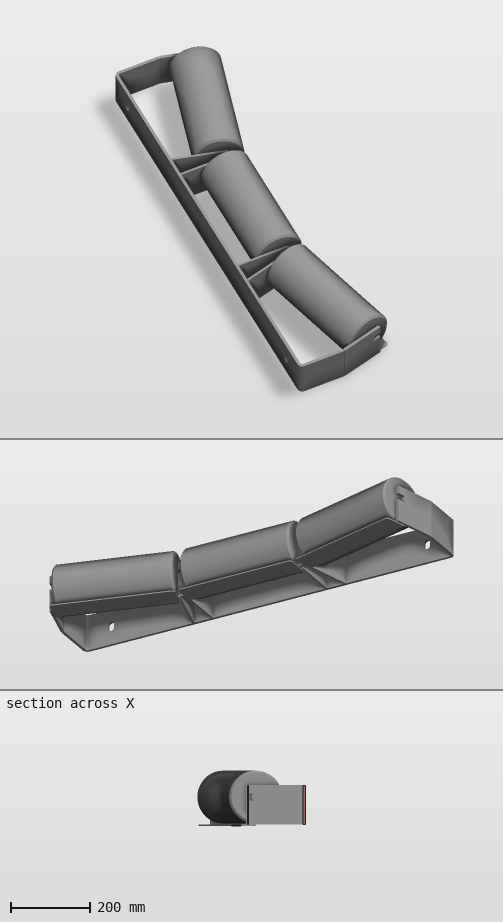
import cadquery as cq
import math


OVERALL_WIDTH = 1070.0
OVERALL_DEPTH = 273.45
PLATE_HEIGHT = 100.0
TROUGH_ANGLE = 15.0
SIN = math.sin(math.radians(TROUGH_ANGLE))
COS = math.cos(math.radians(TROUGH_ANGLE))
HALF_WIDTH = OVERALL_WIDTH / 2

ROLLER_DIAMETER = 133.0
ROLLER_LENGTH = 315.0
ROLLER_CHAMFER = 5.0
AXIS_HEIGHT = 70.0
SHAFT_DIAMETER = 20.0
SHAFT_ACROSS_FLATS = 17.0

CENTRE_AXIS_Y = 125.5
WING_CENTRE_X = -346.7
WING_CENTRE_Y = OVERALL_DEPTH - ROLLER_DIAMETER / 2 * COS - (ROLLER_LENGTH / 2 - ROLLER_CHAMFER) * SIN

WALL_THICKNESS = 8.0
PLATE_THICKNESS = 6.0
ARM_OUTER_FACE = 171.0
ARM_INNER_FACE = ARM_OUTER_FACE - WALL_THICKNESS
PLATE_OUTER_FACE = 168.0
PLATE_INNER_FACE = PLATE_OUTER_FACE - PLATE_THICKNESS
ARM_TIP = 29.0
PLATE_TIP = 22.0

TRAY_THICKNESS = 3.0
TRAY_WIDTH = 62.0
TRAY_CORNER_RADIUS = 8.0
TRAY_HALF_LENGTH = 164.0

CORNER_RADIUS = 14.0
MOUNT_SLOT_X = 457.0
MOUNT_SLOT_Z = 51.0
MOUNT_SLOT_WIDTH = 18.0
MOUNT_SLOT_HEIGHT = 26.0


def place_at_centre(shape):
    return shape.translate((0, CENTRE_AXIS_Y, 0))


def place_at_wing(shape):
    tilted = shape.rotate((0, 0, 0), (0, 0, 1), -TROUGH_ANGLE)
    return tilted.translate((WING_CENTRE_X, WING_CENTRE_Y, 0))


def mirror_across(shape):
    return shape.mirror("YZ")


def wing_point(u, v):
    """Plan position of a point given in the left wing station."""
    return (WING_CENTRE_X + u * COS + v * SIN, WING_CENTRE_Y - u * SIN + v * COS)


def wing_v_at_x(u, x):
    """Station v at which the line of constant u reaches plan position x."""
    return (x - WING_CENTRE_X - u * COS) / SIN


def wing_v_at_y(u, y):
    """Station v at which the line of constant u reaches plan position y."""
    return (y - WING_CENTRE_Y + u * SIN) / COS


def block(x_start, x_end, y_start, y_end, height):
    return (
        cq.Workplane("XY")
        .box(x_end - x_start, y_end - y_start, height, centered=False)
        .translate((x_start, y_start, 0))
    )


def flatted_bar(u_start, u_end):
    """Round bar with two level flats, lying on the roller axis."""
    length = u_end - u_start
    bar = cq.Workplane("YZ").circle(SHAFT_DIAMETER / 2).extrude(length)
    flats = cq.Workplane("YZ").rect(SHAFT_DIAMETER, SHAFT_ACROSS_FLATS).extrude(length)
    return bar.intersect(flats).translate((u_start, 0, AXIS_HEIGHT))


def shaft_slot(u_start, u_end, tip):
    """Cutter for a slot that seats the shaft flats and opens through the plate tip."""
    opening = block(u_start, u_end, 0, tip, SHAFT_ACROSS_FLATS)
    opening = opening.translate((0, 0, AXIS_HEIGHT - SHAFT_ACROSS_FLATS / 2))
    return flatted_bar(u_start, u_end).union(opening)


def tray():
    """Flat plate from below the roller axis to behind it, top face at floor level."""
    plate = block(-TRAY_HALF_LENGTH, TRAY_HALF_LENGTH, 0, TRAY_WIDTH, TRAY_THICKNESS)
    return plate.edges("|Z and >Y").fillet(TRAY_CORNER_RADIUS).translate((0, 0, -TRAY_THICKNESS))


def roller(left_end, right_end):
    """Chamfered roller; its shaft is round up to the plates and flatted inside them.

    Each end is given as (inner face, outer face) distances of the plate that carries it.
    """
    left_inner, left_outer = left_end
    right_inner, right_outer = right_end
    drum = cq.Workplane("YZ").circle(ROLLER_DIAMETER / 2).extrude(ROLLER_LENGTH)
    drum = drum.faces("<X or >X").chamfer(ROLLER_CHAMFER).translate((-ROLLER_LENGTH / 2, 0, AXIS_HEIGHT))
    journal = cq.Workplane("YZ").circle(SHAFT_DIAMETER / 2).extrude(left_inner + right_inner)
    journal = journal.translate((-left_inner, 0, AXIS_HEIGHT))
    return drum.union(journal).union(flatted_bar(-left_outer, right_outer))


ARM_FOOT = wing_v_at_x(-ARM_OUTER_FACE, -HALF_WIDTH)


def wing_channel():
    arm = block(-ARM_OUTER_FACE, -ARM_INNER_FACE, ARM_FOOT, ARM_TIP, PLATE_HEIGHT)
    arm = arm.cut(shaft_slot(-ARM_OUTER_FACE, -ARM_INNER_FACE, ARM_TIP))

    plate = (
        cq.Workplane("XY")
        .moveTo(PLATE_INNER_FACE, wing_v_at_y(PLATE_INNER_FACE, WALL_THICKNESS))
        .lineTo(PLATE_OUTER_FACE, wing_v_at_y(PLATE_OUTER_FACE, WALL_THICKNESS))
        .lineTo(PLATE_OUTER_FACE, PLATE_TIP)
        .lineTo(PLATE_INNER_FACE, PLATE_TIP)
        .close()
        .extrude(PLATE_HEIGHT)
    )
    plate = plate.cut(shaft_slot(PLATE_INNER_FACE, PLATE_OUTER_FACE, PLATE_TIP))
    return place_at_wing(tray().union(arm).union(plate))


def front_wall():
    side_end = wing_point(-ARM_INNER_FACE, ARM_FOOT)[1]
    wall = block(-HALF_WIDTH, HALF_WIDTH, 0, side_end, PLATE_HEIGHT)
    wall = wall.edges("|Z and <Y").fillet(CORNER_RADIUS)
    inner_half_width = HALF_WIDTH - WALL_THICKNESS
    inside = block(-inner_half_width, inner_half_width, WALL_THICKNESS, side_end, PLATE_HEIGHT)
    inside = inside.edges("|Z and <Y").fillet(CORNER_RADIUS - WALL_THICKNESS)
    mount_slots = (
        cq.Workplane("XZ")
        .pushPoints([(-MOUNT_SLOT_X, MOUNT_SLOT_Z), (MOUNT_SLOT_X, MOUNT_SLOT_Z)])
        .slot2D(MOUNT_SLOT_HEIGHT, MOUNT_SLOT_WIDTH, 90)
        .extrude(-WALL_THICKNESS)
    )
    return wall.cut(inside).cut(mount_slots)


def centre_plate():
    foot = WALL_THICKNESS - CENTRE_AXIS_Y
    plate = block(-PLATE_OUTER_FACE, -PLATE_INNER_FACE, foot, PLATE_TIP, PLATE_HEIGHT)
    plate = plate.cut(shaft_slot(-PLATE_OUTER_FACE, -PLATE_INNER_FACE, PLATE_TIP))
    return place_at_centre(plate)


def bridge():
    """Short wall from the wing channel's inner plate to the middle of the centre plate's tip."""
    back = CENTRE_AXIS_Y + PLATE_TIP + PLATE_THICKNESS / 2
    front = back - PLATE_THICKNESS
    wing_front = wing_point(PLATE_OUTER_FACE, wing_v_at_y(PLATE_OUTER_FACE, front))
    wing_back = wing_point(PLATE_OUTER_FACE, wing_v_at_y(PLATE_OUTER_FACE, back))
    centre_end = PLATE_THICKNESS / 2 - PLATE_OUTER_FACE
    return (
        cq.Workplane("XY")
        .polyline([wing_front, (centre_end, front), (centre_end, back), wing_back])
        .close()
        .extrude(PLATE_HEIGHT)
    )


def frame():
    left_supports = centre_plate().union(bridge())
    body = front_wall().union(left_supports).union(mirror_across(left_supports))
    return body.union(place_at_centre(tray()))


ARM_FACES = (ARM_INNER_FACE, ARM_OUTER_FACE)
PLATE_FACES = (PLATE_INNER_FACE, PLATE_OUTER_FACE)

main_frame = frame()
left_channel = wing_channel()
right_channel = mirror_across(left_channel)
centre_roller = place_at_centre(roller(PLATE_FACES, PLATE_FACES))
left_roller = place_at_wing(roller(ARM_FACES, PLATE_FACES))
right_roller = mirror_across(left_roller)

bodies = [main_frame, left_channel, right_channel, centre_roller, left_roller, right_roller]
result = cq.Compound.makeCompound([body.solids().val() for body in bodies])